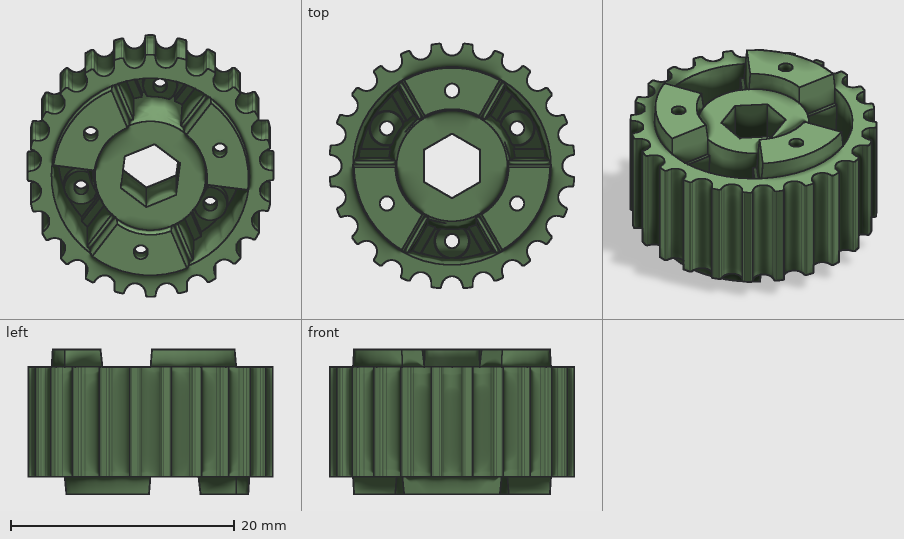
import math

import cadquery as cq

DRUM_HEIGHT = 9.85
TIP_RADIUS = 11.03
TOOTH_COUNT = 24
GROOVE_BOTTOM_RADIUS = 9.9
GROOVE_BOTTOM_ARC = 0.93
GROOVE_CENTRE_RADIUS = GROOVE_BOTTOM_RADIUS + GROOVE_BOTTOM_ARC
BOTTOM_ARC_HALF_ANGLE = math.radians(62)
FLANK_END_RADIUS = 10.78
FLANK_END_HALF_WIDTH = 0.96
MOUTH_HALF_WIDTH = 1.0
TOOTH_TIP_FILLET = 0.18
HEX_ACROSS_FLATS = 5.0

TOTAL_HEIGHT = 13.0
LUG_HEIGHT = (TOTAL_HEIGHT - DRUM_HEIGHT) / 2
LUGS_PER_END = 3
SECTOR_HALF_ANGLE = math.radians(180 / (2 * LUGS_PER_END))
TOP_LUG_ANGLES = [90 + 360 / LUGS_PER_END * i for i in range(LUGS_PER_END)]
TOP_POCKET_ANGLES = [angle + 180 for angle in TOP_LUG_ANGLES]

FACE_Z = DRUM_HEIGHT / 2
RING_OUTER_RADIUS = 8.88
RING_INNER_RADIUS = 4.96
OUTER_DRAFT = 0.06
INNER_DRAFT = 0.088
SIDE_DRAFT = 0.08
POCKET_SIDE_DRAFT = 0.04

LEDGE_DEPTH = 1.5
FLOOR_DEPTH = 8.4
RECESS_DEPTH = 9.9
LEDGE_WIDTH = 0.34
RECESS_SIDE_OFFSET = 1.47

HOLE_CIRCLE_RADIUS = 6.74
HOLE_DIAMETER = 1.25
BOSS_TOP_RADIUS = 1.5
BOSS_BASE_RADIUS = 1.58

WEDGE_REACH = 2 * RING_OUTER_RADIUS


def half_groove():
    """Half of a tooth groove on the +X axis: round bottom, tangent flank and open mouth."""
    mouth_radius = TIP_RADIUS + GROOVE_BOTTOM_ARC
    bottom_arc_middle = (
        GROOVE_CENTRE_RADIUS - GROOVE_BOTTOM_ARC * math.cos(BOTTOM_ARC_HALF_ANGLE / 2),
        GROOVE_BOTTOM_ARC * math.sin(BOTTOM_ARC_HALF_ANGLE / 2),
    )
    bottom_arc_end = (
        GROOVE_CENTRE_RADIUS - GROOVE_BOTTOM_ARC * math.cos(BOTTOM_ARC_HALF_ANGLE),
        GROOVE_BOTTOM_ARC * math.sin(BOTTOM_ARC_HALF_ANGLE),
    )
    return (
        cq.Workplane("XY", origin=(0, 0, -FACE_Z))
        .moveTo(GROOVE_BOTTOM_RADIUS, 0)
        .threePointArc(bottom_arc_middle, bottom_arc_end)
        .tangentArcPoint((FLANK_END_RADIUS, FLANK_END_HALF_WIDTH), relative=False)
        .lineTo(mouth_radius, MOUTH_HALF_WIDTH)
        .lineTo(mouth_radius, 0)
        .close()
        .extrude(DRUM_HEIGHT)
    )


def is_on_tooth_tip(upright_edge):
    middle = upright_edge.Center()
    return math.hypot(middle.x, middle.y) > (TIP_RADIUS + FLANK_END_RADIUS) / 2


def toothed_drum():
    """Drum with rounded grooves between the teeth, one groove on the +X axis."""
    drum = cq.Workplane("XY", origin=(0, 0, -FACE_Z)).circle(TIP_RADIUS).extrude(DRUM_HEIGHT)
    groove = half_groove().union(half_groove().mirror("XZ"))
    for i in range(TOOTH_COUNT):
        drum = drum.cut(turned(groove, 360 / TOOTH_COUNT * i))
    tip_edges = drum.edges("|Z").filter(is_on_tooth_tip)
    return tip_edges.fillet(TOOTH_TIP_FILLET)


def drafted_ring(z_low, z_high):
    """Ring about Z that gets thinner away from the drum face, below it or above it."""
    def radii(z):
        travel = abs(z - FACE_Z)
        return RING_INNER_RADIUS + INNER_DRAFT * travel, RING_OUTER_RADIUS - OUTER_DRAFT * travel

    low_inner, low_outer = radii(z_low)
    high_inner, high_outer = radii(z_high)
    return (
        cq.Workplane("XZ")
        .polyline([(low_inner, z_low), (low_outer, z_low), (high_outer, z_high), (high_inner, z_high)])
        .close()
        .revolve(360, (0, 0), (0, 1))
    )


def drafted_wedge(start_z, height, offset, draft):
    """Wedge about +X, its sides inside the radial sector edges by the offset and closing in with height.

    A negative height makes the wedge hang down from its start.
    """
    half_width = WEDGE_REACH * math.tan(SECTOR_HALF_ANGLE)
    apex = offset / math.sin(SECTOR_HALF_ANGLE)
    return (
        cq.Workplane("XY", origin=(0, 0, start_z))
        .polyline([(apex, 0), (apex + WEDGE_REACH, -half_width), (apex + WEDGE_REACH, half_width)])
        .close()
        .extrude(height, taper=math.degrees(math.atan(draft)))
    )


def pocket_step(top_depth, bottom_depth, offset, draft):
    """Piece of a pocket between two depths below the drum face."""
    return drafted_wedge(FACE_Z - top_depth, top_depth - bottom_depth, offset, draft)


def screw_boss():
    """Drafted boss that stands in the recess, level with the pocket floor."""
    return (
        cq.Workplane("XY", origin=(HOLE_CIRCLE_RADIUS, 0, FACE_Z - RECESS_DEPTH))
        .circle(BOSS_BASE_RADIUS)
        .workplane(offset=RECESS_DEPTH - FLOOR_DEPTH)
        .circle(BOSS_TOP_RADIUS)
        .loft(ruled=True)
    )


def pocket():
    """Space removed for one pocket, centred on +X: slot, main pocket and recess."""
    ledge_inner_offset = SIDE_DRAFT * LEDGE_DEPTH + LEDGE_WIDTH
    slot = pocket_step(0, LEDGE_DEPTH, 0, SIDE_DRAFT)
    main = pocket_step(LEDGE_DEPTH, FLOOR_DEPTH, ledge_inner_offset, POCKET_SIDE_DRAFT)
    recess = pocket_step(FLOOR_DEPTH, RECESS_DEPTH, RECESS_SIDE_OFFSET, POCKET_SIDE_DRAFT)
    ring = drafted_ring(FACE_Z - RECESS_DEPTH, FACE_Z)
    return slot.union(main).union(recess.cut(screw_boss())).intersect(ring)


def lug():
    """One lug standing on the drum face, centred on +X."""
    top_z = FACE_Z + LUG_HEIGHT
    wedge = drafted_wedge(FACE_Z, LUG_HEIGHT, 0, SIDE_DRAFT)
    return wedge.intersect(drafted_ring(FACE_Z, top_z))


def turned(shape, angle):
    return shape.rotate((0, 0, 0), (0, 0, 1), angle)


def flipped(shape):
    """Half turn about X: carries a feature of the top end to the bottom end."""
    return shape.rotate((0, 0, 0), (1, 0, 0), 180)


def add_lugs(body):
    for angle in TOP_LUG_ANGLES:
        top_lug = turned(lug(), angle)
        body = body.union(top_lug).union(flipped(top_lug))
    return body


def cut_pockets(body):
    for angle in TOP_POCKET_ANGLES:
        top_pocket = turned(pocket(), angle)
        body = body.cut(top_pocket).cut(flipped(top_pocket))
    return body


def cut_through_holes(body):
    hex_corner_diameter = HEX_ACROSS_FLATS / math.cos(math.pi / 6)
    hex_bore = turned(
        cq.Workplane("XY").polygon(6, hex_corner_diameter).extrude(TOTAL_HEIGHT, both=True), 90
    )
    screw_holes = (
        cq.Workplane("XY")
        .polarArray(HOLE_CIRCLE_RADIUS, 90, 360, 2 * LUGS_PER_END)
        .circle(HOLE_DIAMETER / 2)
        .extrude(TOTAL_HEIGHT, both=True)
    )
    return body.cut(hex_bore).cut(screw_holes)


result = cut_through_holes(cut_pockets(add_lugs(toothed_drum()))).clean()